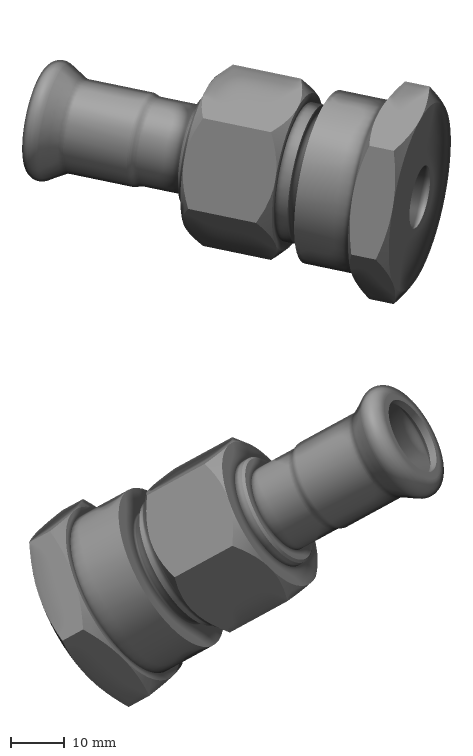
import cadquery as cq
import math

length = 75.0
mouth_lip_depth = 1.4
neck_step_start = 20.85
neck_step_end = 22.0
collar_start = 31.0
nut_start = 33.0
nut_end = 51.0
thread_end = 53.5
sleeve_start = 55.9
end_hex_start = 67.0

bead_diameter = 23.0
tube_diameter = 18.0
neck_diameter = 17.0
collar_diameter = 22.0
thread_diameter = 26.5
relief_diameter = 23.0
sleeve_diameter = 33.0
socket_diameter = 15.0
bore_diameter = 12.0

nut_flats = 30.0
nut_bevel_angle = 45.0
end_hex_flats = 36.0
end_hex_bevel_angle = 30.0

bead_cone_angle = math.radians(30)
bead_blend_radius = 1.8
groove_blend_radius = 3.75
neck_blend_radius = 2.0
collar_chamfer = 0.45
relief_thread_fillet = 0.6
relief_sleeve_fillet = 0.4

wall = (tube_diameter - socket_diameter) / 2
bead_radius = (bead_diameter - tube_diameter) / 2
cone_sin = math.sin(bead_cone_angle)
cone_cos = math.cos(bead_cone_angle)
cone_start = bead_radius * (1 + cone_sin)
cone_start_radius = tube_diameter / 2 + bead_radius * cone_cos
cone_end = cone_start + bead_radius * cone_cos / math.tan(bead_cone_angle)


def blend(start, corner, end, radius):
    """Return start, middle and end of a tangent arc that rounds a profile corner."""
    def unit(point):
        dx, dy = point[0] - corner[0], point[1] - corner[1]
        size = math.hypot(dx, dy)
        return dx / size, dy / size

    first, second = unit(start), unit(end)
    half_angle = math.acos(first[0] * second[0] + first[1] * second[1]) / 2
    tangent = radius / math.tan(half_angle)
    middle = radius / math.sin(half_angle) - radius
    bisector_size = 2 * math.cos(half_angle)
    bisector = [(a + b) / bisector_size for a, b in zip(first, second)]
    return (
        (corner[0] + tangent * first[0], corner[1] + tangent * first[1]),
        (corner[0] + middle * bisector[0], corner[1] + middle * bisector[1]),
        (corner[0] + tangent * second[0], corner[1] + tangent * second[1]),
    )


def add_blend(profile, start, corner, end, radius):
    """Extend a profile by a line to a rounded corner and the arc around it."""
    arc_start, arc_middle, arc_end = blend(start, corner, end, radius)
    return profile.lineTo(*arc_start).threePointArc(arc_middle, arc_end)


def revolve_about_x(profile):
    return profile.close().revolve(360, (0, 0, 0), (1, 0, 0))


def cylinder(start, end, diameter):
    return cq.Workplane("YZ", origin=(start, 0, 0)).circle(diameter / 2).extrude(end - start)


def bevelled_hexagon(start, end, flats, bevel_angle):
    """Hexagonal prism along X whose corners are bevelled by a cone at both ends."""
    corner_radius = flats / 2 / math.cos(math.pi / 6)
    bevel_length = (corner_radius - flats / 2) * math.tan(math.radians(bevel_angle))
    prism = cq.Workplane("YZ", origin=(start, 0, 0)).polygon(6, 2 * corner_radius).extrude(end - start)
    envelope = revolve_about_x(
        cq.Workplane("XY")
        .moveTo(start, 0)
        .lineTo(start, flats / 2)
        .lineTo(start + bevel_length, corner_radius)
        .lineTo(end - bevel_length, corner_radius)
        .lineTo(end, flats / 2)
        .lineTo(end, 0)
    )
    return prism.intersect(envelope)


def make_spigot():
    """Solid press end: bead, tube and the slightly thinner neck."""
    tube_radius = tube_diameter / 2
    neck_radius = neck_diameter / 2
    cone_foot = (cone_end, tube_radius)
    step_top = (neck_step_start, tube_radius)
    step_foot = (neck_step_end, neck_radius)
    neck_end = (collar_start, neck_radius)
    nose_half_sweep = (math.pi / 2 + bead_cone_angle) / 2
    nose_middle = (
        bead_radius * (1 - math.cos(nose_half_sweep)),
        tube_radius + bead_radius * math.sin(nose_half_sweep),
    )
    cone_top = (cone_start, cone_start_radius)
    profile = (
        cq.Workplane("XY")
        .moveTo(0, 0)
        .lineTo(0, tube_radius)
        .threePointArc(nose_middle, cone_top)
    )
    profile = add_blend(profile, cone_top, cone_foot, step_top, bead_blend_radius)
    profile = add_blend(profile, cone_foot, step_top, step_foot, neck_blend_radius)
    profile = add_blend(profile, step_top, step_foot, neck_end, neck_blend_radius)
    return revolve_about_x(profile.lineTo(*neck_end).lineTo(collar_start, 0))


def make_socket():
    """Tube socket with the seal groove that follows the inside of the bead."""
    socket_radius = socket_diameter / 2
    groove_top = (cone_start - wall * cone_sin, cone_start_radius - wall * cone_cos)
    groove_run = (groove_top[1] - socket_radius) / math.tan(bead_cone_angle)
    groove_foot = (groove_top[0] + groove_run, socket_radius)
    socket_end = (neck_step_start, socket_radius)
    profile = (
        cq.Workplane("XY")
        .moveTo(0, 0)
        .lineTo(0, socket_radius)
        .lineTo(mouth_lip_depth, socket_radius)
        .lineTo(mouth_lip_depth, groove_top[1])
        .lineTo(*groove_top)
    )
    profile = add_blend(profile, groove_top, groove_foot, socket_end, groove_blend_radius)
    return revolve_about_x(profile.lineTo(*socket_end).lineTo(neck_step_start, 0))


def make_relief():
    """Solid thread relief with a fillet at each end."""
    radius = relief_diameter / 2
    thread_face = (thread_end, thread_diameter / 2)
    thread_foot = (thread_end, radius)
    sleeve_foot = (sleeve_start, radius)
    sleeve_face = (sleeve_start, sleeve_diameter / 2)
    profile = cq.Workplane("XY").moveTo(thread_end, 0)
    profile = add_blend(profile, thread_face, thread_foot, sleeve_foot, relief_thread_fillet)
    profile = add_blend(profile, thread_foot, sleeve_foot, sleeve_face, relief_sleeve_fillet)
    return revolve_about_x(profile.lineTo(sleeve_start, 0))


def make_fitting():
    """Through-bored fitting: press end, nut seat, thread, sleeve and end hexagon."""
    nut_seat = cylinder(collar_start, nut_end, collar_diameter).faces("<X").chamfer(collar_chamfer)
    return (
        make_spigot()
        .union(nut_seat)
        .union(cylinder(nut_end, thread_end, thread_diameter))
        .union(make_relief())
        .union(cylinder(sleeve_start, end_hex_start, sleeve_diameter))
        .union(bevelled_hexagon(end_hex_start, length, end_hex_flats, end_hex_bevel_angle))
        .cut(cylinder(0, length, bore_diameter))
        .cut(make_socket())
    )


def make_nut():
    """Hexagonal nut that fits around the nut seat of the fitting."""
    nut = bevelled_hexagon(nut_start, nut_end, nut_flats, nut_bevel_angle)
    return nut.cut(cylinder(nut_start, nut_end, collar_diameter))


fitting = make_fitting()
nut = make_nut()
result = cq.Compound.makeCompound([fitting.solids().val(), nut.solids().val()])